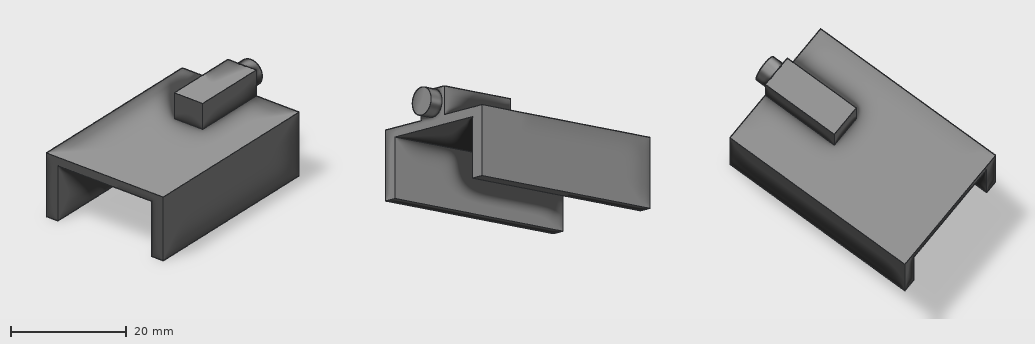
import cadquery as cq

channel_width = 25.6
channel_length = 38.3
channel_height = 12.6
wall_thickness = 2.55
roof_thickness = 1.7

block_width = 6.2
block_length = 15.1
block_height = 5.1
block_left_inset = 10.0

pin_diameter = 5.0
pin_length = 2.5

block_center_x = -channel_width / 2 + block_left_inset + block_width / 2
pin_center_z = channel_height + block_height / 2


def make_channel():
    body = cq.Workplane("XY").box(
        channel_width, channel_length, channel_height, centered=(True, False, False)
    )
    opening = cq.Workplane("XY").box(
        channel_width - 2 * wall_thickness,
        channel_length,
        channel_height - roof_thickness,
        centered=(True, False, False),
    )
    return body.cut(opening)


def make_block():
    return (
        cq.Workplane("XY")
        .box(block_width, block_length, block_height, centered=(True, False, False))
        .translate((block_center_x, channel_length - block_length, channel_height))
    )


def make_pin():
    return (
        cq.Workplane("XZ", origin=(block_center_x, channel_length, pin_center_z))
        .circle(pin_diameter / 2)
        .extrude(-pin_length)
    )


result = make_channel().union(make_block()).union(make_pin())